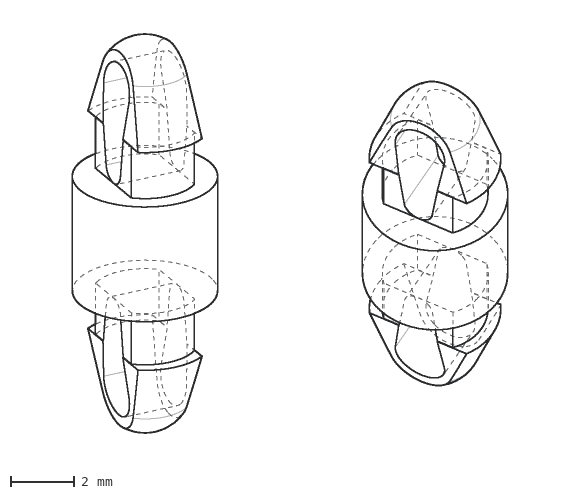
import cadquery as cq
import math

total_height = 13.6
body_diameter = 4.6
body_height = 4.0

neck_radius = 1.67
neck_height = 1.8
barb_radius = 2.08
dome_radius = 1.5
dome_base_radius = 1.41

neck_thickness = 2.25
head_base_thickness = 2.27
head_tip_thickness = 1.73

slot_tip_radius = 0.88
slot_root_radius = 0.5
tip_wall = 0.68

tip_z = total_height / 2
body_top_z = body_height / 2
barb_z = body_top_z + neck_height
dome_center_z = tip_z - dome_radius
dome_base_z = dome_center_z + math.sqrt(dome_radius**2 - dome_base_radius**2)


def make_neck():
    """Cylinder with two parallel flats, standing on the body."""
    cylinder = cq.Workplane("XY").workplane(offset=body_top_z).circle(neck_radius).extrude(neck_height)
    flats = (
        cq.Workplane("XY")
        .workplane(offset=body_top_z)
        .rect(2 * neck_radius, neck_thickness)
        .extrude(neck_height)
    )
    return cylinder.intersect(flats)


def make_head():
    """Domed cone cut by two flats that lean together towards the tip."""
    arc_mid = dome_radius * math.sqrt(0.5)
    revolved = (
        cq.Workplane("XZ")
        .moveTo(0, barb_z)
        .lineTo(barb_radius, barb_z)
        .lineTo(dome_base_radius, dome_base_z)
        .threePointArc((arc_mid, dome_center_z + arc_mid), (0, tip_z))
        .close()
        .revolve(360, (0, 0, 0), (0, 1, 0))
    )
    flats = (
        cq.Workplane("YZ")
        .polyline([
            (-head_base_thickness / 2, barb_z),
            (head_base_thickness / 2, barb_z),
            (head_tip_thickness / 2, tip_z),
            (-head_tip_thickness / 2, tip_z),
        ])
        .close()
        .extrude(barb_radius, both=True)
    )
    return revolved.intersect(flats)


def make_slot():
    """Two round ends joined by their common tangents, running along Y."""
    tip_center = tip_z - tip_wall - slot_tip_radius
    root_center = body_top_z + slot_root_radius
    sine = (slot_tip_radius - slot_root_radius) / (tip_center - root_center)
    cosine = math.sqrt(1 - sine**2)
    tip_x = slot_tip_radius * cosine
    tip_tangent_z = tip_center - slot_tip_radius * sine
    root_x = slot_root_radius * cosine
    root_tangent_z = root_center - slot_root_radius * sine
    return (
        cq.Workplane("XZ")
        .moveTo(-root_x, root_tangent_z)
        .lineTo(-tip_x, tip_tangent_z)
        .threePointArc((0, tip_z - tip_wall), (tip_x, tip_tangent_z))
        .lineTo(root_x, root_tangent_z)
        .threePointArc((0, body_top_z), (-root_x, root_tangent_z))
        .close()
        .extrude(body_diameter / 2, both=True)
    )


body = (
    cq.Workplane("XY")
    .workplane(offset=-body_top_z)
    .circle(body_diameter / 2)
    .extrude(body_height)
)
upper_post = make_neck().union(make_head()).cut(make_slot())
lower_post = upper_post.mirror("XY")
result = body.union(upper_post).union(lower_post)